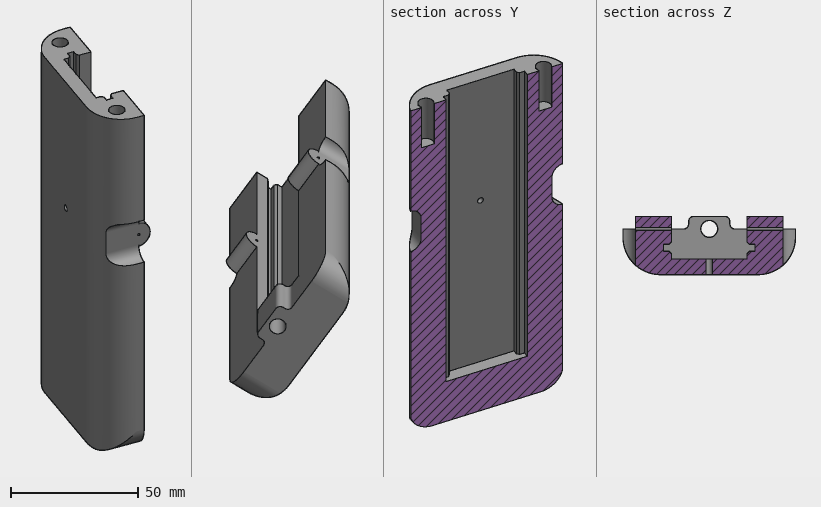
import cadquery as cq

length = 160.0
width = 68.0
body_depth = 18.0
side_radius = 14.9
bottom_corner_radius = 10.0

hinge_projection = 5.0
knuckle_height = 20.0
knuckle_width = 16.3
knuckle_edge_radius = 2.0
knuckle_root_radius = 2.0
pin_diameter = 6.5

channel_width = 29.6
channel_depth = 11.8
groove_width = 35.8
groove_back = 6.0
groove_front = 8.8
groove_chamfer = 1.0

top_hole_diameter = 6.4
top_hole_depth = 20.0
top_hole_spacing = 52.0
top_hole_inset = 8.2

notch_center_z = 100.0
notch_height = 20.0
notch_depth = 5.0
lug_root_height = 11.2
lug_hole_diameter = 1.0
front_hole_diameter = 2.5

half_width = width / 2
notch_floor_x = half_width - notch_depth


def make_body():
    """Extruded slab with rounded long front edges and bottom corners."""
    slab = (
        cq.Workplane("XY")
        .box(width, body_depth, length, centered=(True, False, False))
        .translate((0, -body_depth, 0))
        .edges("|Z and <Y")
        .fillet(side_radius)
    )
    rounded_outline = (
        cq.Workplane("XZ")
        .rect(width, 2 * length)
        .extrude(body_depth)
        .edges("|Y")
        .fillet(bottom_corner_radius)
        .translate((0, 0, length))
    )
    return slab.intersect(rounded_outline)


def make_channel():
    """Cutter for the grooved channel above the knuckle block."""
    half_channel = channel_width / 2
    half_groove = groove_width / 2
    right_side = [
        (half_channel, 0),
        (half_channel, -groove_back + groove_chamfer),
        (half_channel + groove_chamfer, -groove_back),
        (half_groove, -groove_back),
        (half_groove, -groove_front),
        (half_channel + groove_chamfer, -groove_front),
        (half_channel, -groove_front - groove_chamfer),
        (half_channel, -channel_depth),
    ]
    left_side = [(-x, y) for x, y in reversed(right_side)]
    return (
        cq.Workplane("XY", origin=(0, 0, knuckle_height))
        .polyline(right_side + left_side)
        .close()
        .extrude(length - knuckle_height)
    )


def make_knuckle():
    """Bottom hinge knuckle with rounded back edges and flared roots."""
    half = knuckle_width / 2
    edge = knuckle_edge_radius
    root = knuckle_root_radius
    return (
        cq.Workplane("XY")
        .moveTo(-half - root, 0)
        .radiusArc((-half, root), -root)
        .lineTo(-half, hinge_projection - edge)
        .radiusArc((-half + edge, hinge_projection), edge)
        .lineTo(half - edge, hinge_projection)
        .radiusArc((half, hinge_projection - edge), edge)
        .lineTo(half, root)
        .radiusArc((half + root, 0), -root)
        .close()
        .extrude(knuckle_height)
    )


def make_notch(side):
    """Cutter for one side notch shaped as half of an upright slot."""
    return (
        cq.Workplane("XZ")
        .center(side * half_width, notch_center_z)
        .slot2D(notch_height, 2 * notch_depth, 90)
        .extrude(body_depth)
    )


def make_lug(side):
    """Arc-shaped lug reaching from the channel wall to the notch floor."""
    lug_length = notch_floor_x - channel_width / 2
    half_root = lug_root_height / 2
    start_x = channel_width / 2 if side > 0 else -notch_floor_x
    return (
        cq.Workplane("YZ", origin=(start_x, 0, notch_center_z))
        .moveTo(0, -half_root)
        .threePointArc((hinge_projection, 0), (0, half_root))
        .close()
        .extrude(lug_length)
    )


result = make_body().union(make_knuckle()).cut(make_channel())
for side in (-1, 1):
    result = result.cut(make_notch(side)).union(make_lug(side))

result = result.cut(cq.Workplane("XY").circle(pin_diameter / 2).extrude(knuckle_height))

top_holes = (
    cq.Workplane("XY", origin=(0, -top_hole_inset, length))
    .pushPoints([(-top_hole_spacing / 2, 0), (top_hole_spacing / 2, 0)])
    .circle(top_hole_diameter / 2)
    .extrude(-top_hole_depth)
)
result = result.cut(top_holes)

lug_hole = (
    cq.Workplane("YZ", origin=(-half_width, 0, notch_center_z))
    .circle(lug_hole_diameter / 2)
    .extrude(width)
)
result = result.cut(lug_hole)

front_hole = (
    cq.Workplane("XZ", origin=(0, 0, notch_center_z))
    .circle(front_hole_diameter / 2)
    .extrude(body_depth)
)
result = result.cut(front_hole)